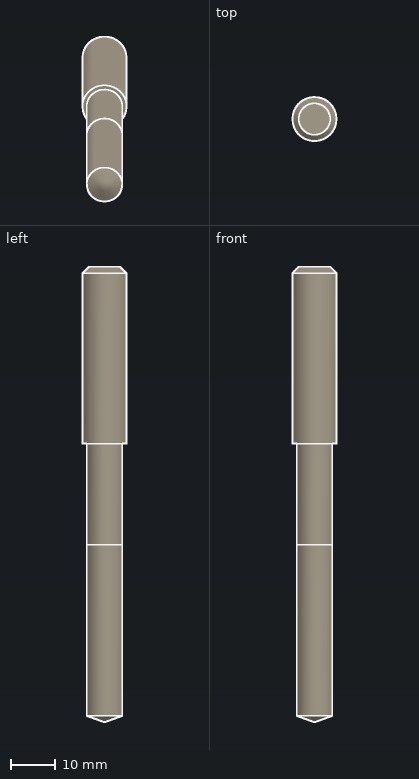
import cadquery as cq
import math

total_length = 103.0
shank_diameter = 10.0
drill_diameter = 8.0
point_angle = 140.0

shank_length = 40.0
cutting_length = 40.2
chamfer_width = 1.4
chamfer_height = 1.4

shank_radius = shank_diameter / 2
drill_radius = drill_diameter / 2
point_height = drill_radius / math.tan(math.radians(point_angle / 2))
tip_z = -total_length / 2
joint_z = tip_z + cutting_length
top_z = tip_z + total_length
shank_bottom_z = top_z - shank_length


def revolve_profile(points):
    """Turn a closed (radius, z) outline around the Z axis."""
    return cq.Workplane("XZ").polyline(points).close().revolve(360, (0, 0), (0, 1))


def make_cutting_part():
    """Lower cylinder ending in a conical point."""
    return revolve_profile([
        (0, tip_z),
        (drill_radius, tip_z + point_height),
        (drill_radius, joint_z),
        (0, joint_z),
    ])


def make_holder():
    """Neck and thicker shank in one piece, chamfered at the top."""
    return revolve_profile([
        (0, joint_z),
        (drill_radius, joint_z),
        (drill_radius, shank_bottom_z),
        (shank_radius, shank_bottom_z),
        (shank_radius, top_z - chamfer_height),
        (shank_radius - chamfer_width, top_z),
        (0, top_z),
    ])


cutting_part = make_cutting_part()
holder = make_holder()

result = cq.Compound.makeCompound([cutting_part.val(), holder.val()])